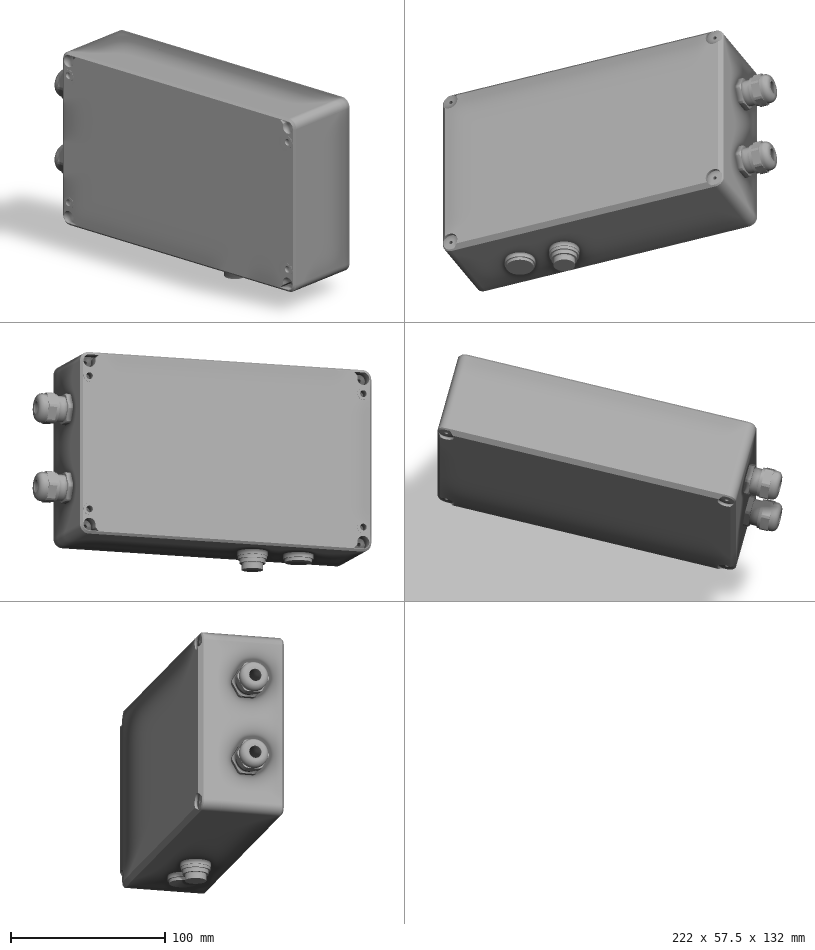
import cadquery as cq
import math

TOTAL_LENGTH = 222.0

BOX_LENGTH = 200.0
BOX_HEIGHT = 120.0
BOX_DEPTH = 57.3
CORNER_RADIUS = 6.0
BASE_DEPTH = 41.7
SEAL_THICKNESS = 0.7
LID_DEPTH = BOX_DEPTH - BASE_DEPTH - SEAL_THICKNESS
BASE_CHAMFER = 1.5
LID_CHAMFER = 2.9

SCREW_X = BOX_LENGTH / 2 - CORNER_RADIUS
SCREW_Z = BOX_HEIGHT / 2 - CORNER_RADIUS
SCREW_HOLE_DIAMETER = 2.5
RECESS_DIAMETER = 8.2
RECESS_FLARE = 2.2
BASE_RECESS_DEPTH = 8.9
LID_RECESS_DIAMETER = 11.0
LID_RECESS_DEPTH = 2.0

FOOT_DIAMETER = 8.0
FOOT_HOLE_DIAMETER = 4.5
FOOT_HEIGHT = 0.2
FOOT_HOLE_DEPTH = 6.7
FOOT_OFFSET = 10.0

FITTING_Y = 25.5

GLAND_Z = 26.0
GLAND_LENGTH = TOTAL_LENGTH - BOX_LENGTH
GLAND_FLANGE_END = 3.5
GLAND_BODY_END = 8.9
GLAND_CAP_HEX_START = 10.9
GLAND_CAP_HEX_END = 16.5
GLAND_BODY_DIAMETER = 16.9
GLAND_CAP_DIAMETER = 19.0
GLAND_CAP_ROUND = 3.8
GLAND_MOUTH_DIAMETER = 8.2
GLAND_LIP_LENGTH = 1.5
GLAND_BORE_DIAMETER = 10.0
FLANGE_CHAMFER = 0.7
HEX_FLATS = 19.0
HEX_CORNERS = 21.0

CONNECTOR_X = 26.6
CONNECTOR_STEPS = [(20.0, 3.0), (19.0, 5.0), (16.9, 7.8), (14.0, 12.0)]
PLUG_X = 58.2
PLUG_STEPS = [(20.0, 3.0), (18.0, 5.0)]

CORNER_SIGNS = [(sx, sz) for sx in (-1, 1) for sz in (-1, 1)]


def plane_y(y):
    """Sketch plane at height Y whose local axes are X and Z and whose normal is -Y."""
    return cq.Workplane("XZ", origin=(0, y, 0))


def slab(y_start, depth):
    """Block with the rounded outline of the box, from y_start towards +Y."""
    return (
        plane_y(y_start)
        .rect(BOX_LENGTH, BOX_HEIGHT)
        .extrude(-depth)
        .edges("|Y")
        .fillet(CORNER_RADIUS)
    )


def cylinder_y(diameter, x, z, y_start, y_end):
    return plane_y(y_start).center(x, z).circle(diameter / 2).extrude(y_start - y_end)


def screw_holes():
    points = [(sx * SCREW_X, sz * SCREW_Z) for sx, sz in CORNER_SIGNS]
    return plane_y(0).pushPoints(points).circle(SCREW_HOLE_DIAMETER / 2).extrude(-BOX_DEPTH)


def base_recess(sx, sz):
    """Round recess on a screw hole's axis, flaring out along the long edge of the base."""
    x, z = sx * SCREW_X, sz * SCREW_Z
    radius = RECESS_DIAMETER / 2
    flare = [
        (0, 0),
        (-radius, 0),
        (-radius, radius - RECESS_FLARE),
        (-radius - RECESS_FLARE, radius),
        (0, radius),
    ]
    corner = plane_y(0).polyline([(x + sx * u, z + sz * v) for u, v in flare]).close()
    return corner.extrude(-BASE_RECESS_DEPTH).union(
        cylinder_y(RECESS_DIAMETER, x, z, 0, BASE_RECESS_DEPTH)
    )


def make_base():
    base = slab(0, BASE_DEPTH).faces("<Y").edges().chamfer(BASE_CHAMFER)
    for sx, sz in CORNER_SIGNS:
        base = base.cut(base_recess(sx, sz))
    for sx, sz in CORNER_SIGNS:
        foot_z = sz * (SCREW_Z - FOOT_OFFSET)
        foot = cylinder_y(FOOT_DIAMETER, sx * SCREW_X, foot_z, -FOOT_HEIGHT, FOOT_HOLE_DEPTH)
        hole = cylinder_y(FOOT_HOLE_DIAMETER, sx * SCREW_X, foot_z, -FOOT_HEIGHT, FOOT_HOLE_DEPTH)
        base = base.union(foot).cut(hole)
    return base.cut(screw_holes())


def make_seal():
    return slab(BASE_DEPTH, SEAL_THICKNESS).cut(screw_holes())


def make_lid():
    lid = slab(BASE_DEPTH + SEAL_THICKNESS, LID_DEPTH).faces(">Y").edges().chamfer(LID_CHAMFER)
    recess_floor = BOX_DEPTH - LID_RECESS_DEPTH
    for sx, sz in CORNER_SIGNS:
        x, z = sx * SCREW_X, sz * SCREW_Z
        lid = lid.cut(cylinder_y(LID_RECESS_DIAMETER, x, z, recess_floor, BOX_DEPTH))
    return lid.cut(screw_holes())


def gland_plane(z, distance):
    """Plane facing -X at a distance from the box side, on the axis of the gland at height z."""
    return cq.Workplane("YZ", origin=(-BOX_LENGTH / 2 - distance, FITTING_Y, z))


def gland_cylinder(z, diameter, start, end):
    return gland_plane(z, start).circle(diameter / 2).extrude(start - end)


def gland_hexagon(z, start, end):
    """Hexagon with flats at top and bottom and its corners turned off."""
    sharp_corners = HEX_FLATS / math.cos(math.radians(30))
    hexagon = gland_plane(z, start).polygon(6, sharp_corners).extrude(start - end)
    return hexagon.intersect(gland_cylinder(z, HEX_CORNERS, start, end))


def make_gland_body(z):
    turned_blank = gland_cylinder(z, HEX_CORNERS, 0, GLAND_FLANGE_END)
    turned_blank = turned_blank.faces("<X").edges().chamfer(FLANGE_CHAMFER)
    body = gland_hexagon(z, 0, GLAND_FLANGE_END).intersect(turned_blank)
    body = body.union(gland_cylinder(z, GLAND_BODY_DIAMETER, 0, GLAND_BODY_END))
    return body.cut(gland_cylinder(z, GLAND_BORE_DIAMETER, 0, GLAND_BODY_END))


def make_gland_cap(z):
    cap = gland_cylinder(z, GLAND_CAP_DIAMETER, GLAND_BODY_END, GLAND_LENGTH)
    cap = cap.faces("<X").edges().fillet(GLAND_CAP_ROUND)
    cap = cap.union(gland_hexagon(z, GLAND_CAP_HEX_START, GLAND_CAP_HEX_END))
    bore_end = GLAND_LENGTH - GLAND_LIP_LENGTH
    cap = cap.cut(gland_cylinder(z, GLAND_BORE_DIAMETER, GLAND_BODY_END, bore_end))
    return cap.cut(gland_cylinder(z, GLAND_MOUTH_DIAMETER, bore_end, GLAND_LENGTH))


def stepped_fitting(x, steps):
    """Stack of coaxial discs that hangs from the -Z side of the box."""
    fitting = cq.Workplane("XY")
    for diameter, end in steps:
        disc = (
            cq.Workplane("XY", origin=(x, FITTING_Y, -BOX_HEIGHT / 2))
            .circle(diameter / 2)
            .extrude(-end)
        )
        fitting = fitting.union(disc)
    return fitting


base = make_base()
seal = make_seal()
lid = make_lid()
gland_bodies = [make_gland_body(side * GLAND_Z).val() for side in (-1, 1)]
gland_caps = [make_gland_cap(side * GLAND_Z).val() for side in (-1, 1)]
connector = stepped_fitting(CONNECTOR_X, CONNECTOR_STEPS)
plug = stepped_fitting(PLUG_X, PLUG_STEPS)

result = cq.Compound.makeCompound(
    [base.val(), seal.val(), lid.val(), *gland_bodies, *gland_caps, connector.val(), plug.val()]
)